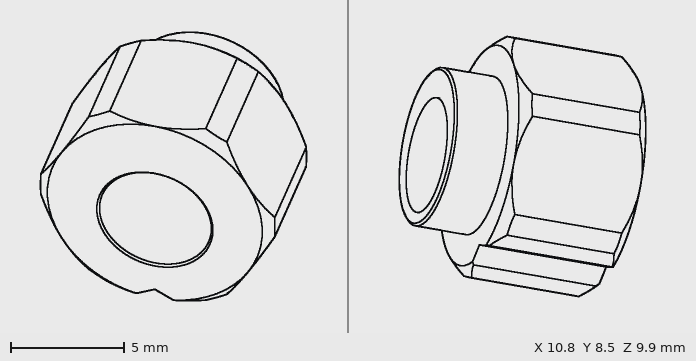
import cadquery as cq
import math

ACROSS_CORNERS = 10.78
ACROSS_FLATS = 9.9
TOTAL_LENGTH = 8.5
BODY_LENGTH = 6.0
EDGE_CHAMFER = (ACROSS_CORNERS - ACROSS_FLATS) / 2

BOSS_DIAMETER = 7.11
BOSS_CHAMFER = 0.11

BORE_DIAMETER = 5.15
BORE_OFFSET = 0.43
BORE_CHAMFER = 0.1

GROOVE_WIDTH = 1.98
GROOVE_DEPTH = 0.5


def hex_prism(across_flats):
    """Hexagonal prism along +Y with corners on the X axis."""
    corner_diameter = across_flats / math.cos(math.pi / 6)
    return cq.Workplane("XZ").polygon(6, corner_diameter).extrude(-BODY_LENGTH)


def make_body():
    """Hexagon with flattened corners and cone-chamfered ends."""
    corner_flats = hex_prism(ACROSS_CORNERS).rotate((0, 0, 0), (0, 1, 0), 30)
    margin = 0.32
    envelope = (
        cq.Workplane("XZ")
        .circle(ACROSS_FLATS / 2 + EDGE_CHAMFER + margin)
        .extrude(-BODY_LENGTH)
        .faces("<Y or >Y")
        .chamfer(EDGE_CHAMFER + margin)
    )
    return hex_prism(ACROSS_FLATS).intersect(corner_flats).intersect(envelope)


def make_boss():
    """Concentric boss with a chamfered rear edge."""
    return (
        cq.Workplane("XZ")
        .circle(BOSS_DIAMETER / 2)
        .extrude(-TOTAL_LENGTH)
        .faces(">Y")
        .chamfer(BOSS_CHAMFER)
    )


def make_bore():
    """Through bore with a countersunk front mouth."""
    radius = BORE_DIAMETER / 2
    mouth_radius = radius + BORE_CHAMFER
    profile = [
        (0, 0),
        (mouth_radius, 0),
        (radius, BORE_CHAMFER),
        (radius, TOTAL_LENGTH),
        (0, TOTAL_LENGTH),
    ]
    bore = cq.Workplane("XY").polyline(profile).close().revolve(360, (0, 0), (0, 1))
    return bore.translate((0, 0, -BORE_OFFSET))


def make_groove():
    """V groove running the full length of the body."""
    bottom = -ACROSS_FLATS / 2
    corners = [
        (-GROOVE_WIDTH / 2, bottom),
        (GROOVE_WIDTH / 2, bottom),
        (0, bottom + GROOVE_DEPTH),
    ]
    return cq.Workplane("XZ").polyline(corners).close().extrude(-BODY_LENGTH)


result = make_body().union(make_boss()).cut(make_bore()).cut(make_groove())